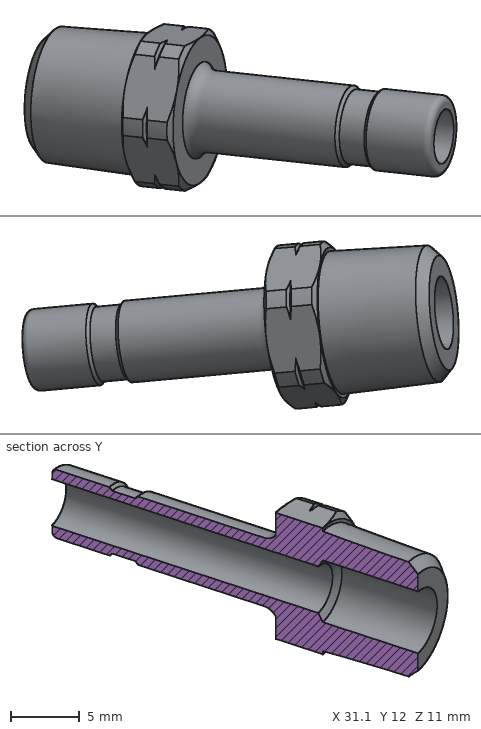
import cadquery as cq
import math

total_length = 31.1
thread_length = 8.1
hex_width = 4.0
hex_end = thread_length + hex_width

thread_tip_radius = 5.0
thread_chamfer = 0.8
thread_taper = 1 / 16
thread_root_radius = thread_tip_radius + (thread_length - thread_chamfer) * thread_taper / 2

across_flats = 11.0
corner_radius = 6.0
hex_chamfer_angle = 30.0
corner_drop = corner_radius - across_flats / 2
hex_chamfer_length = corner_drop * math.tan(math.radians(hex_chamfer_angle))

mark_depth = 0.3
mark_width = 0.37

tube_diameter = 6.0
tube_radius = tube_diameter / 2
root_blend_length = 1.0
root_blend_height = 0.55
end_round = 0.5
retaining_groove_start = 23.75
retaining_groove_end = 26.2
retaining_groove_depth = 0.25

bore_diameter = 4.0
bore_radius = bore_diameter / 2
wide_bore_radius = 2.67
wide_bore_depth = thread_length
shoulder_half_angle = 60.0


def revolve_about_x(profile):
    return profile.close().revolve(360, (0, 0, 0), (1, 0, 0))


def make_thread():
    return revolve_about_x(
        cq.Workplane("XY")
        .lineTo(0, thread_tip_radius - thread_chamfer)
        .lineTo(thread_chamfer, thread_tip_radius)
        .lineTo(thread_length, thread_root_radius)
        .lineTo(thread_length, 0)
    )


def make_hexagon():
    across_corners = across_flats / math.cos(math.pi / 6)
    prism = (
        cq.Workplane("YZ")
        .workplane(offset=thread_length)
        .polygon(6, across_corners)
        .extrude(hex_width)
    )
    middle = thread_length + hex_width / 2
    turned_outline = revolve_about_x(
        cq.Workplane("XY")
        .moveTo(thread_length, 0)
        .lineTo(thread_length, across_flats / 2)
        .lineTo(thread_length + hex_chamfer_length, corner_radius)
        .lineTo(middle - mark_width / 2, corner_radius)
        .lineTo(middle, corner_radius - mark_depth)
        .lineTo(middle + mark_width / 2, corner_radius)
        .lineTo(hex_end - hex_chamfer_length, corner_radius)
        .lineTo(hex_end, across_flats / 2)
        .lineTo(hex_end, 0)
    )
    return prism.intersect(turned_outline)


def make_tube():
    floor_radius = tube_radius - retaining_groove_depth
    blend_end = hex_end + root_blend_length
    blend_radius = (root_blend_length**2 + root_blend_height**2) / (2 * root_blend_height)
    round_centre_x = total_length - end_round
    round_offset = end_round * math.sqrt(0.5)
    return revolve_about_x(
        cq.Workplane("XY")
        .moveTo(hex_end, 0)
        .lineTo(hex_end, tube_radius + root_blend_height)
        .radiusArc((blend_end, tube_radius), -blend_radius)
        .lineTo(retaining_groove_start, tube_radius)
        .lineTo(retaining_groove_start + retaining_groove_depth, floor_radius)
        .lineTo(retaining_groove_end - retaining_groove_depth, floor_radius)
        .lineTo(retaining_groove_end, tube_radius)
        .lineTo(round_centre_x, tube_radius)
        .threePointArc(
            (round_centre_x + round_offset, tube_radius - end_round + round_offset),
            (total_length, tube_radius - end_round),
        )
        .lineTo(total_length, 0)
    )


def make_bore():
    shoulder_length = (wide_bore_radius - bore_radius) / math.tan(math.radians(shoulder_half_angle))
    return revolve_about_x(
        cq.Workplane("XY")
        .lineTo(0, wide_bore_radius)
        .lineTo(wide_bore_depth, wide_bore_radius)
        .lineTo(wide_bore_depth + shoulder_length, bore_radius)
        .lineTo(total_length, bore_radius)
        .lineTo(total_length, 0)
    )


result = make_thread().union(make_hexagon()).union(make_tube()).cut(make_bore())